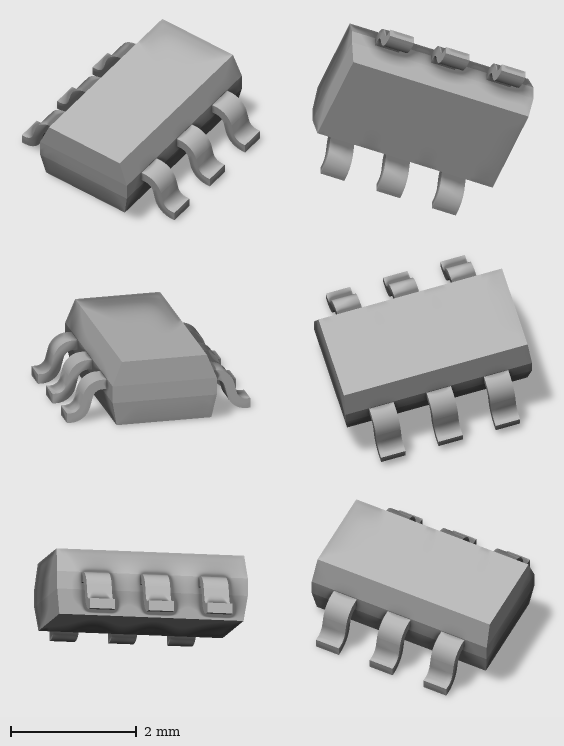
import cadquery as cq
import math


HOUSING_WIDTH = 1.705
HOUSING_LENGTH = 3.1
HOUSING_BOTTOM_Z = 0.022
HOUSING_TOP_Z = 1.09
BELT_BOTTOM_Z = 0.415
BELT_TOP_Z = 0.698
CAP_INSET_X = 0.158
CAP_INSET_Y = 0.025
BASE_INSET_X = 0.078
BASE_INSET_Y = 0.053

LEAD_SPAN = 3.0
LEAD_WIDTH = 0.405
LEAD_PITCH = 0.952
LEADS_PER_SIDE = 3
LEAD_THICKNESS = 0.16
LEAD_TOP_Z = 0.682
FOOT_FLAT = 0.068
BEND_INNER_RADIUS = 0.158
BEND_ANGLE = 75.0

MARKER_DIAMETER = 0.085
MARKER_DEPTH = 0.03
MARKER_X = -0.508
MARKER_Y = 0.952


def tapered_block(start_z, end_z, inset_x, inset_y):
    """Loft from the full housing outline at start_z to an inset outline at end_z."""
    return (
        cq.Workplane("XY")
        .workplane(offset=start_z)
        .rect(HOUSING_WIDTH, HOUSING_LENGTH)
        .workplane(offset=end_z - start_z)
        .rect(HOUSING_WIDTH - 2 * inset_x, HOUSING_LENGTH - 2 * inset_y)
        .loft(ruled=True)
    )


def make_marker():
    return (
        cq.Workplane("XY")
        .workplane(offset=HOUSING_TOP_Z - MARKER_DEPTH)
        .center(MARKER_X, MARKER_Y)
        .circle(MARKER_DIAMETER / 2)
        .extrude(MARKER_DEPTH)
    )


def make_housing():
    """Belt, cap and base in one solid, with a recess that holds the marker."""
    belt = (
        cq.Workplane("XY")
        .workplane(offset=BELT_BOTTOM_Z)
        .rect(HOUSING_WIDTH, HOUSING_LENGTH)
        .extrude(BELT_TOP_Z - BELT_BOTTOM_Z)
    )
    cap = tapered_block(BELT_TOP_Z, HOUSING_TOP_Z, CAP_INSET_X, CAP_INSET_Y)
    base = tapered_block(BELT_BOTTOM_Z, HOUSING_BOTTOM_Z, BASE_INSET_X, BASE_INSET_Y)
    return belt.union(cap).union(base).cut(make_marker()).solids()


def arc_point(center, radius, degrees):
    angle = math.radians(degrees)
    return (center[0] + radius * math.cos(angle), center[1] + radius * math.sin(angle))


def make_left_lead(center_y):
    """S-bent strip on the -X side, from the foot tip to the housing face."""
    inner = BEND_INNER_RADIUS
    outer = BEND_INNER_RADIUS + LEAD_THICKNESS
    bend = math.radians(BEND_ANGLE)

    rise = LEAD_TOP_Z - LEAD_THICKNESS
    leg_rise = rise - (inner + outer) * (1 - math.cos(bend))
    bends_run = (inner + outer) * math.sin(bend) + leg_rise / math.tan(bend)

    tip_x = -LEAD_SPAN / 2
    face_x = -HOUSING_WIDTH / 2
    lower_x = tip_x + FOOT_FLAT
    upper_x = lower_x + bends_run
    lower_center = (lower_x, outer)
    upper_center = (upper_x, LEAD_TOP_Z - outer)

    lower_start = -90
    lower_mid = lower_start + BEND_ANGLE / 2
    lower_end = lower_start + BEND_ANGLE
    upper_end = 90
    upper_mid = upper_end + BEND_ANGLE / 2
    upper_start = upper_end + BEND_ANGLE

    profile = (
        cq.Workplane("XZ", origin=(0, center_y, 0))
        .moveTo(tip_x, 0)
        .lineTo(lower_x, 0)
        .threePointArc(arc_point(lower_center, outer, lower_mid), arc_point(lower_center, outer, lower_end))
        .lineTo(*arc_point(upper_center, inner, upper_start))
        .threePointArc(arc_point(upper_center, inner, upper_mid), arc_point(upper_center, inner, upper_end))
        .lineTo(face_x, LEAD_TOP_Z - LEAD_THICKNESS)
        .lineTo(face_x, LEAD_TOP_Z)
        .lineTo(upper_x, LEAD_TOP_Z)
        .threePointArc(arc_point(upper_center, outer, upper_mid), arc_point(upper_center, outer, upper_start))
        .lineTo(*arc_point(lower_center, inner, lower_end))
        .threePointArc(arc_point(lower_center, inner, lower_mid), arc_point(lower_center, inner, lower_start))
        .lineTo(tip_x, LEAD_THICKNESS)
        .close()
    )
    return profile.extrude(LEAD_WIDTH / 2, both=True).solids()


def make_leads():
    """One lead and its mirror image on the +X side for each row along Y."""
    leads = []
    for row in range(LEADS_PER_SIDE):
        center_y = (row - (LEADS_PER_SIDE - 1) / 2) * LEAD_PITCH
        left_lead = make_left_lead(center_y)
        leads.append(left_lead.val())
        leads.append(left_lead.mirror("YZ").val())
    return leads


housing = make_housing()
marker = make_marker()
leads = make_leads()

result = cq.Compound.makeCompound([housing.val(), marker.val(), *leads])